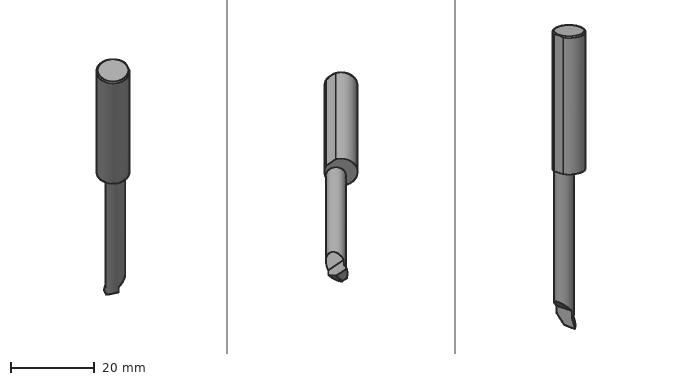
import cadquery as cq
import math

total_length = 76.19
shank_diameter = 7.9375
shank_radius = shank_diameter / 2
shank_length = 35.4
shank_chamfer = 0.35
flat_depth = 0.26

neck_diameter = 4.8
neck_radius = neck_diameter / 2
neck_x = shank_radius - neck_radius

relief_height = 4.45
bevel_height = 2.4

head_height = 2.9
tip_x = -1.85
flank_clearance = 1.8
flank_bow = 0.13
end_rise = 0.2
end_clearance = 0.3

bottom_z = -total_length / 2
top_z = total_length / 2
step_z = top_z - shank_length
head_top_z = bottom_z + head_height
end_z = bottom_z + end_rise


def make_shank():
    shank = (
        cq.Workplane("XY", origin=(0, 0, step_z))
        .circle(shank_radius)
        .extrude(shank_length)
        .faces(">Z")
        .chamfer(shank_chamfer)
    )
    flat = (
        cq.Workplane("XY", origin=(0, shank_radius - flat_depth / 2, step_z))
        .rect(shank_diameter, flat_depth)
        .extrude(shank_length)
    )
    return shank.cut(flat)


def make_neck():
    neck = cq.Workplane("XY", origin=(neck_x, 0, end_z)).circle(neck_radius).extrude(step_z - end_z)

    relief_top = bottom_z + relief_height
    relief = (
        cq.Workplane("YZ", origin=(neck_x - neck_diameter, 0, 0))
        .polyline([
            (0, bottom_z),
            (0, relief_top),
            (neck_diameter, relief_top + neck_diameter),
            (neck_diameter, bottom_z),
        ])
        .close()
        .extrude(2 * neck_diameter)
    )

    bevel = (
        cq.Workplane("XZ", origin=(0, neck_radius, 0))
        .polyline([
            (neck_x, end_z),
            (shank_radius, end_z + bevel_height),
            (shank_radius, end_z),
        ])
        .close()
        .extrude(neck_diameter)
    )

    head_space = (
        cq.Workplane("XY", origin=(neck_x - neck_radius / 2, 0, end_z))
        .rect(neck_radius, neck_diameter)
        .extrude(head_top_z - end_z)
    )
    return neck.cut(relief).cut(bevel).cut(head_space)


def flank_section(section, edge_x):
    heel_x = edge_x + flank_clearance
    chord = math.hypot(neck_radius, flank_clearance)
    bow_x = flank_bow * neck_radius / chord
    bow_y = flank_bow * flank_clearance / chord
    bow_point = ((edge_x + heel_x) / 2 - bow_x, -neck_radius / 2 - bow_y)
    return (
        section.moveTo(edge_x, 0)
        .threePointArc(bow_point, (heel_x, -neck_radius))
        .lineTo(neck_x, -neck_radius)
        .lineTo(neck_x, 0)
        .close()
    )


def end_outline(section, end_shift):
    return section.polyline([
        (tip_x, head_top_z),
        (tip_x, bottom_z + end_shift),
        (neck_x, end_z + end_shift),
        (neck_x, head_top_z),
    ]).close()


def make_head():
    tip_section = flank_section(cq.Workplane("XY", origin=(0, 0, bottom_z)), tip_x)
    blank = flank_section(tip_section.workplane(offset=head_height), neck_x - neck_radius).loft(ruled=True)

    face_section = end_outline(cq.Workplane("XZ"), 0)
    space_above_end = end_outline(face_section.workplane(offset=neck_radius), end_clearance).loft(ruled=True)
    return blank.intersect(space_above_end)


result = make_shank().union(make_neck()).union(make_head())